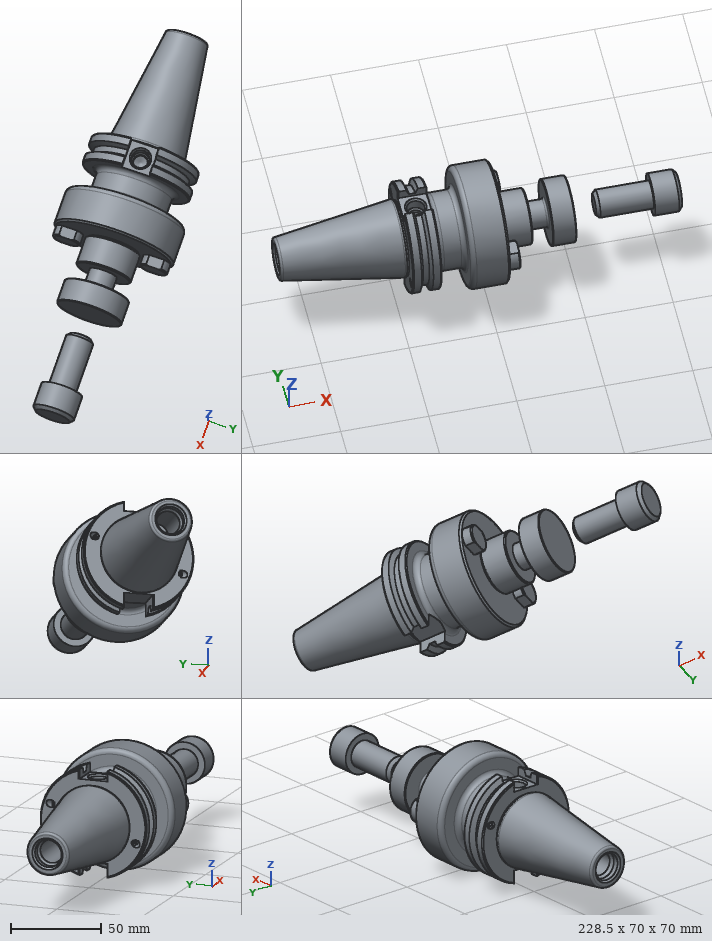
import cadquery as cq
import math


taper_length = 68.3
gauge_radius = 22.2
taper_ratio = 7 / 24
taper_end_radius = gauge_radius - taper_length * taper_ratio / 2
end_fillet = 1.4

flange_start = 70.8
flange_end = 87.3
flange_radius = 31.5
flange_chamfer = 0.7
relief_width = 1.1
relief_radius = 21.5
groove_center = 79.0
groove_floor_width = 3.5
groove_floor_radius = 28.0
groove_flank_angle = 25

neck_radius = 22.2
neck_front_fillet = 3.2
neck_rear_fillet = 3.0
collar_start = 103.3
collar_end = 125.5
collar_radius = 35.0
collar_front_fillet = 3.0
collar_rear_chamfer = 1.1
undercut_width = 1.1
undercut_radius = 14.8
spigot_end = 142.3
spigot_radius = 16.0
spigot_chamfer = 0.7

mouth_chamfer = 1.1
pilot_diameter = 15.8
pilot_depth = 4.3
core_entry_depth = 6.6
core_diameter = 13.5
bore_depth = 32.0

slot_width = 16.2
top_slot_height = 25.0
bottom_slot_height = 22.5
slot_chamfer = 0.7

slot_hole_x = 79.3
slot_hole_mouth_diameter = 12.0
slot_hole_diameter = 10.0
slot_hole_core_diameter = 8.0
slot_hole_entry_depth = 6.9
slot_hole_depth = 10.0
drill_point_angle = 118

coolant_circle_radius = 27.0
coolant_angle = 20
coolant_tilt = 35
coolant_hole_diameter = 4.0
set_screw_recess = 2.7
set_screw_length = 4.5
set_screw_socket_diameter = 2.0
set_screw_socket_depth = 1.4

key_thickness = 6.2
key_length = 16.0
key_width = 13.3
key_end_diameter = 15.8
key_center_radius = 25.5
key_chamfer = 0.7

clamp_head_start = 153.0
clamp_head_end = 166.5
clamp_head_radius = 19.0
clamp_head_chamfer = 0.5
clamp_stem_radius = 8.0
clamp_stem_fillet = 1.1

screw_tip = 180.5
screw_end = 228.5
screw_shank_radius = 8.0
screw_head_diameter = 24.0
screw_head_length = 15.8
screw_chamfer = 2.0


def revolve_about_x(profile):
    """Turn a closed profile, drawn in XY with Y as the radius, about the X axis."""
    return profile.close().revolve(360, (0, 0, 0), (1, 0, 0))


def fillet_mid(center_x, center_r, radius, angle):
    """Point on a fillet arc at the given angle, in degrees from +X."""
    turn = math.radians(angle)
    return center_x + radius * math.cos(turn), center_r + radius * math.sin(turn)


def holder_blank():
    flank_run = (flange_radius - groove_floor_radius) * math.tan(math.radians(groove_flank_angle))
    floor_start = groove_center - groove_floor_width / 2
    floor_end = groove_center + groove_floor_width / 2
    front_x = flange_end + neck_front_fillet
    front_r = neck_radius + neck_front_fillet
    rear_x = collar_start - neck_rear_fillet
    rear_r = neck_radius + neck_rear_fillet
    round_x = collar_start + collar_front_fillet
    round_r = collar_radius - collar_front_fillet
    rim_edge_r = taper_end_radius + end_fillet * taper_ratio / 2
    rim_r = rim_edge_r - end_fillet
    profile = (
        cq.Workplane("XY")
        .moveTo(0, 0)
        .lineTo(0, rim_r)
        .threePointArc(fillet_mid(end_fillet, rim_r, end_fillet, 135), (end_fillet, rim_edge_r))
        .lineTo(taper_length, gauge_radius)
        .lineTo(flange_start - relief_width, gauge_radius)
        .lineTo(flange_start - relief_width, relief_radius)
        .lineTo(flange_start, relief_radius)
        .lineTo(flange_start, flange_radius - flange_chamfer)
        .lineTo(flange_start + flange_chamfer, flange_radius)
        .lineTo(floor_start - flank_run, flange_radius)
        .lineTo(floor_start, groove_floor_radius)
        .lineTo(floor_end, groove_floor_radius)
        .lineTo(floor_end + flank_run, flange_radius)
        .lineTo(flange_end - flange_chamfer, flange_radius)
        .lineTo(flange_end, flange_radius - flange_chamfer)
        .lineTo(flange_end, front_r)
        .threePointArc(fillet_mid(front_x, front_r, neck_front_fillet, 225), (front_x, neck_radius))
        .lineTo(rear_x, neck_radius)
        .threePointArc(fillet_mid(rear_x, rear_r, neck_rear_fillet, 315), (collar_start, rear_r))
        .lineTo(collar_start, round_r)
        .threePointArc(fillet_mid(round_x, round_r, collar_front_fillet, 135), (round_x, collar_radius))
        .lineTo(collar_end - collar_rear_chamfer, collar_radius)
        .lineTo(collar_end, collar_radius - collar_rear_chamfer)
        .lineTo(collar_end, undercut_radius)
        .lineTo(collar_end + undercut_width, undercut_radius)
        .lineTo(collar_end + undercut_width, spigot_radius)
        .lineTo(spigot_end - spigot_chamfer, spigot_radius)
        .lineTo(spigot_end, spigot_radius - spigot_chamfer)
        .lineTo(spigot_end, 0)
    )
    return revolve_about_x(profile)


def shank_bore():
    pilot_radius = pilot_diameter / 2
    core_radius = core_diameter / 2
    profile = (
        cq.Workplane("XY")
        .moveTo(0, 0)
        .lineTo(0, pilot_radius + mouth_chamfer)
        .lineTo(mouth_chamfer, pilot_radius)
        .lineTo(pilot_depth, pilot_radius)
        .lineTo(core_entry_depth, core_radius)
        .lineTo(bore_depth, core_radius)
        .lineTo(bore_depth, 0)
    )
    return revolve_about_x(profile)


def drive_slot(floor_height, side):
    """Slot through flange and neck fillet, with its side walls chamfered at the front face.

    side is +1 for the top slot and -1 for the bottom one.
    """
    half_width = slot_width / 2
    slot_end = flange_end + neck_front_fillet
    return (
        cq.Workplane("XY", origin=(0, 0, side * floor_height))
        .moveTo(flange_start, half_width + slot_chamfer)
        .lineTo(flange_start + slot_chamfer, half_width)
        .lineTo(slot_end, half_width)
        .lineTo(slot_end, -half_width)
        .lineTo(flange_start + slot_chamfer, -half_width)
        .lineTo(flange_start, -half_width - slot_chamfer)
        .close()
        .extrude(side * (flange_radius - floor_height))
    )


def slot_hole():
    mouth_radius = slot_hole_mouth_diameter / 2
    thread_hole_radius = slot_hole_diameter / 2
    core_radius = slot_hole_core_diameter / 2
    mouth_depth = mouth_radius - thread_hole_radius
    step_depth = slot_hole_entry_depth + thread_hole_radius - core_radius
    point_depth = core_radius / math.tan(math.radians(drill_point_angle / 2))
    return (
        cq.Workplane("XZ")
        .moveTo(0, 0)
        .lineTo(mouth_radius, 0)
        .lineTo(thread_hole_radius, -mouth_depth)
        .lineTo(thread_hole_radius, -slot_hole_entry_depth)
        .lineTo(core_radius, -step_depth)
        .lineTo(core_radius, -slot_hole_depth)
        .lineTo(0, -slot_hole_depth - point_depth)
        .close()
        .revolve(360, (0, 0, 0), (0, 1, 0))
        .translate((slot_hole_x, 0, top_slot_height))
    )


def coolant_plane(angle):
    """Plane at a coolant hole's mouth, with its normal pointing into the flange."""
    turn = math.radians(angle)
    tilt = math.radians(coolant_tilt)
    outward = cq.Vector(0, math.cos(turn), math.sin(turn))
    inward_axis = cq.Vector(math.cos(tilt), 0, 0) - outward * math.sin(tilt)
    mouth = outward * coolant_circle_radius + cq.Vector(flange_start, 0, 0)
    tangent = cq.Vector(0, -math.sin(turn), math.cos(turn))
    return cq.Plane(origin=mouth, xDir=tangent, normal=inward_axis)


def coolant_hole(angle):
    """Blind hole for a set screw, cut from outside the flange face down to the screw's far end."""
    plane = cq.Workplane(coolant_plane(angle))
    depth = set_screw_recess + set_screw_length
    return (
        plane.workplane(offset=-coolant_hole_diameter)
        .circle(coolant_hole_diameter / 2)
        .extrude(coolant_hole_diameter + depth)
    )


def make_holder(coolant_angles):
    holder = holder_blank().cut(shank_bore())
    holder = holder.cut(drive_slot(top_slot_height, 1)).cut(drive_slot(bottom_slot_height, -1))
    holder = holder.cut(slot_hole())
    for angle in coolant_angles:
        holder = holder.cut(coolant_hole(angle))
    return holder


def make_set_screw(angle):
    top = cq.Workplane(coolant_plane(angle)).workplane(offset=set_screw_recess)
    body = top.circle(coolant_hole_diameter / 2).extrude(set_screw_length)
    socket = top.polygon(6, set_screw_socket_diameter).extrude(set_screw_socket_depth)
    return body.cut(socket)


def make_drive_key(side):
    """Key on the collar face with two arched ends; side is +1 for +Y and -1 for -Y."""
    half_width = key_width / 2
    half_length = key_length / 2
    key_end_radius = key_end_diameter / 2
    arch_height = key_end_radius - math.sqrt(key_end_radius**2 - half_width**2)
    straight = half_length - arch_height
    return (
        cq.Workplane("YZ", origin=(collar_end, side * key_center_radius, 0))
        .moveTo(-straight, -half_width)
        .lineTo(straight, -half_width)
        .threePointArc((half_length, 0), (straight, half_width))
        .lineTo(-straight, half_width)
        .threePointArc((-half_length, 0), (-straight, -half_width))
        .close()
        .extrude(key_thickness)
        .faces(">X")
        .edges("%CIRCLE")
        .chamfer(key_chamfer)
    )


def make_clamping_screw():
    fillet_x = clamp_head_start - clamp_stem_fillet
    fillet_r = clamp_stem_radius + clamp_stem_fillet
    profile = (
        cq.Workplane("XY")
        .moveTo(spigot_end, 0)
        .lineTo(spigot_end, clamp_stem_radius)
        .lineTo(fillet_x, clamp_stem_radius)
        .threePointArc(
            fillet_mid(fillet_x, fillet_r, clamp_stem_fillet, 315), (clamp_head_start, fillet_r)
        )
        .lineTo(clamp_head_start, clamp_head_radius - clamp_head_chamfer)
        .lineTo(clamp_head_start + clamp_head_chamfer, clamp_head_radius)
        .lineTo(clamp_head_end - clamp_head_chamfer, clamp_head_radius)
        .lineTo(clamp_head_end, clamp_head_radius - clamp_head_chamfer)
        .lineTo(clamp_head_end, 0)
    )
    return revolve_about_x(profile)


def make_cap_screw():
    head_start = screw_end - screw_head_length
    screw_head_radius = screw_head_diameter / 2
    profile = (
        cq.Workplane("XY")
        .moveTo(screw_tip, 0)
        .lineTo(screw_tip, screw_shank_radius - screw_chamfer)
        .lineTo(screw_tip + screw_chamfer, screw_shank_radius)
        .lineTo(head_start, screw_shank_radius)
        .lineTo(head_start, screw_head_radius)
        .lineTo(screw_end - screw_chamfer, screw_head_radius)
        .lineTo(screw_end, screw_head_radius - screw_chamfer)
        .lineTo(screw_end, 0)
    )
    return revolve_about_x(profile)


coolant_angles = [coolant_angle, coolant_angle + 180]
holder = make_holder(coolant_angles)
set_screws = [make_set_screw(angle) for angle in coolant_angles]
drive_keys = [make_drive_key(side) for side in (1, -1)]
clamping_screw = make_clamping_screw()
cap_screw = make_cap_screw()

result = cq.Compound.makeCompound([
    holder.val(),
    *[screw.val() for screw in set_screws],
    *[key.val() for key in drive_keys],
    clamping_screw.val(),
    cap_screw.val(),
])